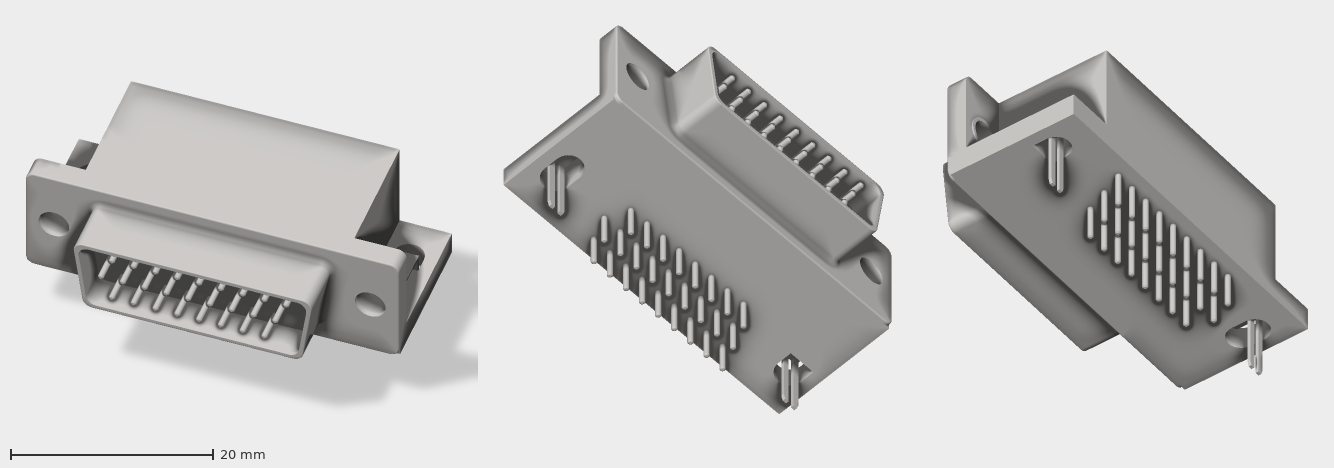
import cadquery as cq
import math

WIDTH = 39.2
HEIGHT = 12.55
BACK_Y = 15.55
FLANGE_DEPTH = 2.35
CORNER_RADIUS = 0.95
PLATE_THICKNESS = 0.45
PLATE_EDGE_FILLET = 0.2
BODY_WIDTH = 28.22
LEDGE_HEIGHT = 2.63
MID_Z = 6.3

MOUNT_X = 16.62
HOLE_DIAMETER = 3.2
COLLAR_DIAMETER = 4.0
COLLAR_HEIGHT = 0.15

SHELL_LENGTH = 5.75
SHELL_HEIGHT = 8.45
SHELL_TOP_CORNER_X = 11.5
SHELL_CORNER_RADIUS = 1.0
SHELL_SLOPE = math.radians(8)
SHELL_WALL = 0.47
SHELL_FLOOR_Y = -2.15
SHELL_BASE_FILLET = 0.55
SHELL_TIP_FILLET = 0.1

PIN_DIAMETER = 0.63
LONGEST_ROW = 9
LONGEST_ROW_SPAN = 18.3
PIN_PITCH = LONGEST_ROW_SPAN / (LONGEST_ROW - 1)
PIN_FIRST_X = -9.75
PIN_TIP_Y = -5.5
PIN_TIP_CHAMFER = 0.15
PIN_EMBED = 0.4
ROW_SPACING = 2.55
TAIL_LENGTH = 3.92
MIDDLE_TAIL_Y = 11.2
STAGGERED_X = PIN_FIRST_X + PIN_PITCH / 2
PIN_ROWS = (
    (1, STAGGERED_X, LONGEST_ROW),
    (0, PIN_FIRST_X, LONGEST_ROW),
    (-1, STAGGERED_X, LONGEST_ROW - 1),
)

SLOT_WIDTH = 3.2
SLOT_BACK_Y = 11.2
SLOT_FRONT_Y = 9.53
STRAP_WIDTH = 2.05
STRAP_THICKNESS = 0.35
STRAP_RISE = 0.15
STRAP_WALL_THICKNESS = 0.27
STRAP_TOP_Z = 4.65
LEG_WIDTH = 0.65
LEG_LENGTH = 5.37
LEG_TAPER = 0.2
LEG_TAPER_LENGTH = 0.6


def block(x_range, y_range, z_range):
    """Box given by its limits along each axis."""
    limits = (x_range, y_range, z_range)
    size = [high - low for low, high in limits]
    corner = tuple(low for low, high in limits)
    return cq.Workplane("XY").box(*size, centered=False).translate(corner)


def cylinder_y(diameter, x, z, y_start, y_end):
    """Cylinder along Y between two Y places."""
    plane = cq.Workplane("XZ", origin=(x, y_start, z))
    return plane.circle(diameter / 2).extrude(y_start - y_end)


def make_shell(inset):
    """Rounded D prism from the flange face forward, its outline moved inward by `inset`."""
    half_height = SHELL_HEIGHT / 2 - inset
    arc_center_z = SHELL_HEIGHT / 2 - SHELL_CORNER_RADIUS
    outer_side_x = (
        SHELL_TOP_CORNER_X
        + SHELL_CORNER_RADIUS / math.cos(SHELL_SLOPE)
        - arc_center_z * math.tan(SHELL_SLOPE)
    )
    side_x = outer_side_x - inset / math.cos(SHELL_SLOPE)
    lean = half_height * math.tan(SHELL_SLOPE)
    top_x = side_x + lean
    bottom_x = side_x - lean
    outline = cq.Workplane("XZ", origin=(0, 0, MID_Z)).polyline(
        [(-top_x, half_height), (top_x, half_height), (bottom_x, -half_height), (-bottom_x, -half_height)]
    )
    return outline.close().extrude(SHELL_LENGTH).edges("|Y").fillet(SHELL_CORNER_RADIUS)


def make_front():
    """Metal face plate with the hollow shell rising from it."""
    half = WIDTH / 2
    plate = block((-half, half), (0, PLATE_THICKNESS), (0, HEIGHT))
    plate = plate.edges("|Y").fillet(CORNER_RADIUS)
    plate = plate.faces("<Y").edges().fillet(PLATE_EDGE_FILLET)
    shell = make_shell(0).faces("<Y").edges().fillet(SHELL_TIP_FILLET)
    reach_x = SHELL_TOP_CORNER_X + 2 * SHELL_CORNER_RADIUS
    reach_z = SHELL_HEIGHT / 2 + SHELL_WALL
    depth = PLATE_THICKNESS / 2
    base_edges = cq.selectors.BoxSelector(
        (-reach_x, -depth, MID_Z - reach_z), (reach_x, depth, MID_Z + reach_z)
    )
    front = plate.union(shell).edges(base_edges).fillet(SHELL_BASE_FILLET)
    cavity = make_shell(SHELL_WALL)
    floor = block((-half, half), (SHELL_FLOOR_Y, 0), (0, HEIGHT))
    return front.cut(cavity.cut(floor))


def make_housing():
    """Body, the two side ledges and the flange behind the face plate."""
    half = WIDTH / 2
    half_body = BODY_WIDTH / 2
    body = block((-half_body, half_body), (PLATE_THICKNESS, BACK_Y), (0, HEIGHT))
    ledge = block((-half, half), (PLATE_THICKNESS, BACK_Y), (0, LEDGE_HEIGHT))
    flange = block((-half, half), (PLATE_THICKNESS, FLANGE_DEPTH), (0, HEIGHT))
    flange = flange.edges("|Y and >Z").fillet(CORNER_RADIUS)
    return body.union(ledge).union(flange)


def make_slot(x, rounded_front):
    """Slot through a ledge, round at the back and either round or square at the front."""
    half = SLOT_WIDTH / 2
    slot = block((x - half, x + half), (SLOT_FRONT_Y, SLOT_BACK_Y), (0, LEDGE_HEIGHT))
    round_ends = [SLOT_BACK_Y, SLOT_FRONT_Y] if rounded_front else [SLOT_BACK_Y]
    for y in round_ends:
        slot = slot.union(cq.Workplane("XY", origin=(x, y, 0)).circle(half).extrude(LEDGE_HEIGHT))
    return slot


def make_strap(x):
    """Strap up the flange, along the ledge and down through the slot as two tapered legs."""
    half = STRAP_WIDTH / 2
    sides = (x - half, x + half)
    back = MIDDLE_TAIL_Y + STRAP_THICKNESS / 2
    top = LEDGE_HEIGHT + STRAP_RISE
    strap = block(sides, (FLANGE_DEPTH, back), (top - STRAP_THICKNESS, top))
    upright = block(sides, (FLANGE_DEPTH, FLANGE_DEPTH + STRAP_WALL_THICKNESS), (LEDGE_HEIGHT, STRAP_TOP_Z))
    strap = strap.union(upright)
    for side in (-1, 1):
        outer = x + side * half
        inner = outer - side * LEG_WIDTH
        leg = cq.Workplane("XZ", origin=(0, back, 0)).polyline(
            [
                (inner, top),
                (outer, top),
                (outer, LEG_TAPER_LENGTH - LEG_LENGTH),
                (outer - side * LEG_TAPER, -LEG_LENGTH),
                (inner, -LEG_LENGTH),
            ]
        )
        strap = strap.union(leg.close().extrude(STRAP_THICKNESS))
    return strap


def make_contact(x, row):
    """Straight pin in the shell and the tail of the same contact under the housing."""
    z = MID_Z + row * ROW_SPACING
    tail_y = MIDDLE_TAIL_Y + row * ROW_SPACING
    pin = cylinder_y(PIN_DIAMETER, x, z, PIN_TIP_Y, SHELL_FLOOR_Y + PIN_EMBED)
    pin = pin.faces("<Y").chamfer(PIN_TIP_CHAMFER)
    tail = cq.Workplane("XY", origin=(x, tail_y, -TAIL_LENGTH)).circle(PIN_DIAMETER / 2)
    tail = tail.extrude(TAIL_LENGTH + PIN_EMBED).faces("<Z").chamfer(PIN_TIP_CHAMFER)
    return pin, tail


result = make_housing().union(make_front())

for mount_x, rounded_front in ((-MOUNT_X, True), (MOUNT_X, False)):
    collar = cylinder_y(COLLAR_DIAMETER, mount_x, MID_Z, PLATE_THICKNESS, FLANGE_DEPTH + COLLAR_HEIGHT)
    hole = cylinder_y(HOLE_DIAMETER, mount_x, MID_Z, 0, FLANGE_DEPTH + COLLAR_HEIGHT)
    result = result.union(collar).cut(make_slot(mount_x, rounded_front))
    result = result.union(make_strap(mount_x)).cut(hole)

for row, first_x, count in PIN_ROWS:
    for index in range(count):
        pin, tail = make_contact(first_x + index * PIN_PITCH, row)
        result = result.union(pin).union(tail)